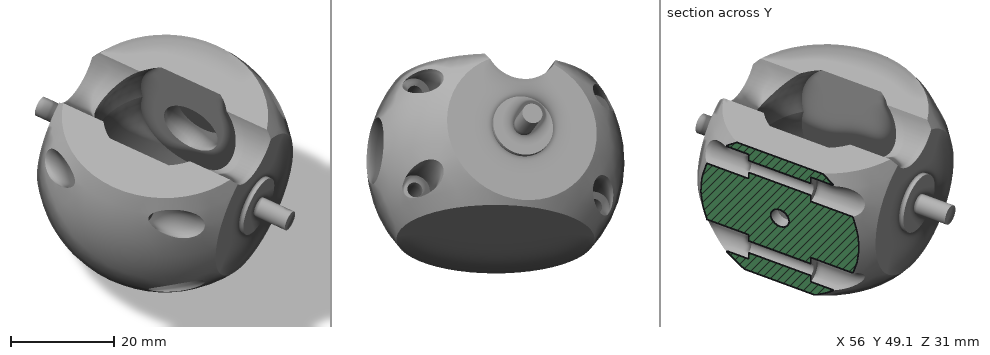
import cadquery as cq

ball_radius = 25.0
top_height = 15.0
bottom_depth = 16.0
axle_face_distance = 20.0

collar_radius = 6.0
collar_thickness = 1.0
shaft_radius = 2.0
shaft_end_distance = 28.0

cavity_radius = 15.0
upper_sphere_height = 6.0
cavity_wall_distance = 10.0

groove_radius = 7.5
groove_floor_height = 10.0

screw_offset_y = 18.0
screw_offset_z = 10.0
screw_hole_radius = 1.5
screw_head_radius = 3.0
screw_seat_distance = 7.0

pocket_radius = 6.0
pocket_depth = 5.0
mount_hole_radius = 2.0
counterbore_radius = 6.5
mount_web_thickness = 5.0

pocket_floor_y = cavity_wall_distance + pocket_depth
counterbore_floor_y = pocket_floor_y + mount_web_thickness


def box_between(x_limits, y_limits, z_limits):
    """Axis-aligned box given by its lower and upper limits."""
    lows, highs = zip(x_limits, y_limits, z_limits)
    size = [high - low for low, high in zip(lows, highs)]
    return cq.Workplane("XY").box(*size, centered=False).translate(lows)


def cylinder_x(radius, start, end, y=0.0, z=0.0):
    """Cylinder parallel to X from x = start to x = end."""
    return cq.Workplane("YZ", origin=(start, y, z)).circle(radius).extrude(end - start)


def cylinder_y(radius, start, end):
    """Cylinder on the Y axis from y = start to y = end."""
    return cq.Workplane("XZ", origin=(0, start, 0)).circle(radius).extrude(start - end)


def make_ball():
    trim = box_between(
        (-axle_face_distance, axle_face_distance),
        (-ball_radius, ball_radius),
        (-bottom_depth, top_height),
    )
    return cq.Workplane("XY").sphere(ball_radius).intersect(trim)


def make_axle(side):
    collar_end = axle_face_distance + collar_thickness
    collar = cylinder_x(collar_radius, side * axle_face_distance, side * collar_end)
    shaft = cylinder_x(shaft_radius, side * axle_face_distance, side * shaft_end_distance)
    return collar.union(shaft)


def make_cavity():
    lower = cq.Workplane("XY").sphere(cavity_radius)
    upper = lower.translate((0, 0, upper_sphere_height))
    walls = box_between(
        (-cavity_radius, cavity_radius),
        (-cavity_wall_distance, cavity_wall_distance),
        (-cavity_radius, upper_sphere_height + cavity_radius),
    )
    return lower.union(upper).intersect(walls)


def make_groove():
    axis_height = groove_floor_height + groove_radius
    return cylinder_x(groove_radius, -axle_face_distance, axle_face_distance, z=axis_height)


def make_screw_hole(y, z):
    hole = cylinder_x(screw_hole_radius, -ball_radius, ball_radius, y, z)
    for side in (-1, 1):
        head = cylinder_x(screw_head_radius, side * screw_seat_distance, side * ball_radius, y, z)
        hole = hole.union(head)
    return hole


def make_side_mount():
    pocket = cylinder_y(pocket_radius, cavity_wall_distance, pocket_floor_y)
    hole = cylinder_y(mount_hole_radius, pocket_floor_y, counterbore_floor_y)
    counterbore = cylinder_y(counterbore_radius, counterbore_floor_y, ball_radius)
    return pocket.union(hole).union(counterbore)


result = make_ball().cut(make_cavity()).cut(make_groove()).cut(make_side_mount())
for y in (-screw_offset_y, screw_offset_y):
    for z in (-screw_offset_z, screw_offset_z):
        result = result.cut(make_screw_hole(y, z))
for side in (-1, 1):
    result = result.union(make_axle(side))